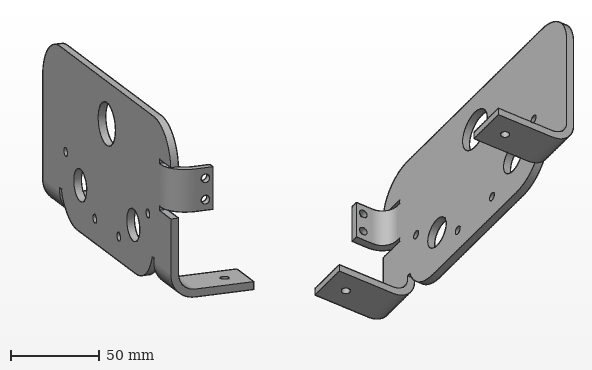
import cadquery as cq
import math

plate_width = 190.5
plate_height = 101.6
thickness = 4.7625
corner_radius = 25.4
half_width = plate_width / 2

inner_bend_radius = 10.0
outer_bend_radius = inner_bend_radius + thickness
relief = 2.54

foot_width = 25.4
foot_depth = 50.8
foot_hole_setback = 12.7
lobe_gap = 1.0
lobe_half_width = half_width - foot_width - lobe_gap

tab_height = 25.4
tab_bottom = 50.8
tab_depth = 25.8
tab_overhang = 0.02
tab_outer_x = half_width + tab_overhang
tab_bend_start_x = tab_outer_x - outer_bend_radius
tab_hole_y = 21.2
tab_hole_inset = 6.35

small_hole_diameter = 5.08
top_hole_diameter = 25.4
top_hole_drop = 25.4
top_hole_z = plate_height - top_hole_drop
side_hole_diameter = 19.05
side_hole_x = 39.37
side_hole_z = 27.94
screw_offset_x = 21.59
screw_offset_z = 13.4


def box(x_min, x_max, y_min, y_max, z_min, z_max):
    """Axis-aligned block between the given limits."""
    size = (x_max - x_min, y_max - y_min, z_max - z_min)
    return cq.Workplane("XY").box(*size, centered=False).translate((x_min, y_min, z_min))


def hole_along_y(x, z, diameter):
    """Cutter through the plate thickness."""
    return cq.Workplane("XZ").center(x, z).circle(diameter / 2).extrude(-thickness)


def bent_strip(reach):
    """Sketch of a strip that leaves the plate at (0, 0) and turns 90 degrees.

    The first coordinate runs outward in the plate plane and the second toward the back.
    """
    outer_mid = outer_bend_radius * math.sin(math.pi / 4)
    inner_mid = inner_bend_radius * math.sin(math.pi / 4)
    bend_center = outer_bend_radius
    return (
        cq.Workplane("XY")
        .moveTo(0, 0)
        .threePointArc((outer_mid, bend_center - outer_mid), (outer_bend_radius, bend_center))
        .lineTo(outer_bend_radius, reach)
        .lineTo(inner_bend_radius, reach)
        .lineTo(inner_bend_radius, bend_center)
        .threePointArc((inner_mid, bend_center - inner_mid), (0, thickness))
        .close()
    )


def make_plate():
    """Flat plate with rounded top corners, a rounded bottom lobe and relief notches."""
    upper = box(-half_width, half_width, 0, thickness, outer_bend_radius, plate_height)
    upper = upper.edges("|Y and >Z").fillet(corner_radius)
    inner_x = half_width - foot_width
    upper = upper.cut(box(-inner_x, inner_x, 0, thickness, 0, outer_bend_radius + relief))
    lobe = box(-lobe_half_width, lobe_half_width, 0, thickness, 0, 2 * corner_radius)
    lobe = lobe.edges("|Y and <Z").fillet(corner_radius)
    return upper.union(lobe)


def make_foot(side):
    """Foot on the left (side = -1) or right (side = 1) end of the bottom edge."""
    foot = bent_strip(foot_depth).extrude(foot_width)
    foot = foot.rotate((0, 0, 0), (0, 1, 0), 90)
    left_x = -half_width if side < 0 else half_width - foot_width
    foot = foot.translate((left_x, 0, outer_bend_radius))
    hole = (
        cq.Workplane("XY")
        .center(left_x + foot_width / 2, foot_depth - foot_hole_setback)
        .circle(small_hole_diameter / 2)
        .extrude(thickness)
    )
    return foot.cut(hole)


def make_tab():
    """Side tab with two screw holes."""
    tab = bent_strip(tab_depth).extrude(tab_height).translate((tab_bend_start_x, 0, tab_bottom))
    for hole_z in (tab_bottom + tab_hole_inset, tab_bottom + tab_height - tab_hole_inset):
        hole = (
            cq.Workplane("YZ", origin=(tab_outer_x - thickness, 0, 0))
            .center(tab_hole_y, hole_z)
            .circle(small_hole_diameter / 2)
            .extrude(thickness)
        )
        tab = tab.cut(hole)
    return tab


def tab_clearance():
    """Cutter that frees the tab bend and leaves a relief slot above and below it."""
    slot_start_x = tab_bend_start_x - relief
    tab_top = tab_bottom + tab_height
    bend = box(tab_bend_start_x, half_width, 0, thickness, tab_bottom, tab_top)
    lower_slot = box(slot_start_x, half_width, 0, thickness, tab_bottom - relief, tab_bottom)
    upper_slot = box(slot_start_x, half_width, 0, thickness, tab_top, tab_top + relief)
    return bend.union(lower_slot).union(upper_slot)


def drill_plate(plate):
    """Top hole plus, on each side, a large hole between two screw holes."""
    plate = plate.cut(hole_along_y(0, top_hole_z, top_hole_diameter))
    for side in (-1, 1):
        plate = plate.cut(hole_along_y(side * side_hole_x, side_hole_z, side_hole_diameter))
        for direction in (-1, 1):
            screw_x = side * (side_hole_x + direction * screw_offset_x)
            screw_z = side_hole_z + direction * screw_offset_z
            plate = plate.cut(hole_along_y(screw_x, screw_z, small_hole_diameter))
    return plate


result = drill_plate(make_plate().cut(tab_clearance()))
result = result.union(make_tab()).union(make_foot(-1)).union(make_foot(1))